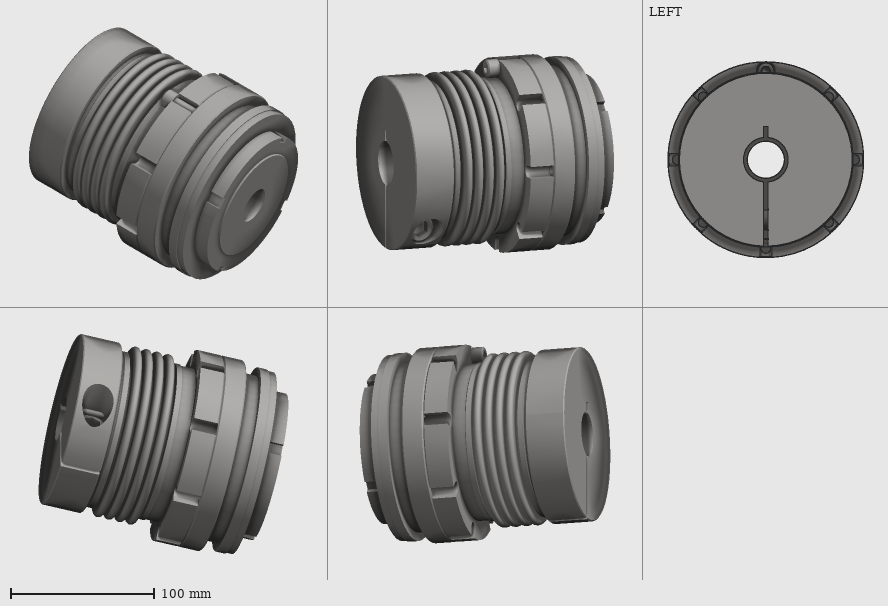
import cadquery as cq
import math


hub_dia = 122.1
hub_end = 28.3
hub_chamfer = 0.8
hub_bore_dia = 31.2
slit_width = 3.0
slit_top = 23.0

collar_dia = 110.0
flange_dia = 111.7
flange_chamfer = 0.8
left_collar_end = 30.6
left_flange_end = 35.0
bellows_end = 69.1
right_flange_end = 73.5
right_collar_end = 82.5
crest_count = 4
crest_radius = 2.5
root_dia = 97.0

ring_dia = 136.8
ring_chamfer = 0.9
slotted_ring_end = 100.1
plain_ring_end = 115.9

groove_dia = 120.0
groove_end = 126.8
large_step_dia = 132.0
large_step_end = 133.3
small_step_dia = 130.3
small_step_end = 138.6
nut_neck_dia = 90.0
nut_start = 139.2
nut_face_dia = 95.5
nut_dia = 105.1
nut_chamfer_length = 0.8
nut_end = 150.3
stub_dia = 80.0
stub_chamfer = 0.6
total_length = 151.5
shaft_bore_dia = 25.8

nut_notch_count = 4
first_notch_angle = 45.0
nut_notch_width = 8.0
nut_notch_floor_radius = 49.0

ring_slot_count = 8
ring_slot_width = 8.5
tapped_hole_dia = 6.8
tapped_hole_depth = 12.1
ring_screw_dia = 8.0
ring_screw_head_dia = 13.0
ring_screw_head_length = 8.5
ring_screw_hex = 6.0
ring_screw_socket_depth = 4.0
slot_circle_radius = (ring_dia - ring_screw_head_dia) / 2

clamp_x = 14.8
clamp_z = -42.0
clamp_screw_dia = 14.0
clamp_clearance_dia = 15.0
clamp_head_dia = 21.0
clamp_head_length = 14.0
clamp_counterbore_dia = 22.0
clamp_head_y = -27.3
clamp_seat_y = clamp_head_y + clamp_head_length
clamp_hex = 12.0
clamp_socket_depth = 7.0
clamp_thread_depth = 22.7
pin_dia = 4.2
pin_length = 24.2
pin_z = -32.7

screw_head_chamfer_ratio = 0.07
socket_cone_to_hex_ratio = 0.88
socket_cone_half_angle = 60.0
hex_sides = 6


def add_bellows(outline):
    """Continue the outline over alternating round roots and round crests."""
    root_count = crest_count + 1
    total_root_width = bellows_end - left_flange_end - 2 * crest_radius * crest_count
    root_radius = total_root_width / (2 * root_count)
    root_centre = root_dia / 2 + root_radius
    crest_centre = hub_dia / 2 - crest_radius
    x = left_flange_end
    for index in range(root_count):
        root_end = x + 2 * root_radius
        outline = outline.lineTo(x, root_centre)
        outline = outline.threePointArc((x + root_radius, root_dia / 2), (root_end, root_centre))
        x = root_end
        if index < crest_count:
            crest_end = x + 2 * crest_radius
            outline = outline.lineTo(x, crest_centre)
            outline = outline.threePointArc((x + crest_radius, hub_dia / 2), (crest_end, crest_centre))
            x = crest_end
    return outline


def step(outline, dia, start, end, start_chamfer=0.0, end_chamfer=0.0):
    """Continue the outline along a cylinder, with a 45 degree chamfer at either end if asked for."""
    radius = dia / 2
    outline = outline.lineTo(start, radius - start_chamfer)
    if start_chamfer:
        outline = outline.lineTo(start + start_chamfer, radius)
    outline = outline.lineTo(end - end_chamfer, radius)
    if end_chamfer:
        outline = outline.lineTo(end, radius - end_chamfer)
    return outline


def make_body():
    outline = cq.Workplane("XY").moveTo(0, 0)
    outline = step(outline, hub_dia, 0, hub_end, hub_chamfer, hub_chamfer)
    outline = step(outline, collar_dia, hub_end, left_collar_end)
    outline = step(outline, flange_dia, left_collar_end, left_flange_end, start_chamfer=flange_chamfer)
    outline = add_bellows(outline)
    outline = step(outline, flange_dia, bellows_end, right_flange_end, end_chamfer=flange_chamfer)
    outline = step(outline, collar_dia, right_flange_end, right_collar_end)
    outline = step(outline, ring_dia, right_collar_end, slotted_ring_end, end_chamfer=ring_chamfer)
    outline = outline.lineTo(slotted_ring_end + ring_chamfer, ring_dia / 2)
    outline = outline.lineTo(plain_ring_end - ring_chamfer, ring_dia / 2)
    outline = outline.lineTo(plain_ring_end, ring_dia / 2 - ring_chamfer)
    outline = step(outline, groove_dia, plain_ring_end, groove_end)
    outline = step(outline, large_step_dia, groove_end, large_step_end)
    outline = step(outline, small_step_dia, large_step_end, small_step_end)
    outline = step(outline, nut_neck_dia, small_step_end, nut_start)
    outline = outline.lineTo(nut_start, nut_face_dia / 2)
    outline = outline.lineTo(nut_start + nut_chamfer_length, nut_dia / 2)
    outline = outline.lineTo(nut_end, nut_dia / 2)
    outline = step(outline, stub_dia, nut_end, total_length, end_chamfer=stub_chamfer)
    outline = outline.lineTo(total_length, 0).close()
    return outline.revolve(360, (0, 0, 0), (1, 0, 0))


def rod_along_x(dia, start, end, z=0.0):
    return cq.Workplane("YZ", origin=(start, 0, z)).circle(dia / 2).extrude(end - start)


def rod_along_y(dia, start, end):
    """Cylinder on the clamping screw axis, from one Y to another."""
    plane = cq.Plane(origin=(clamp_x, start, clamp_z), xDir=(1, 0, 0), normal=(0, 1, 0))
    return cq.Workplane(plane).circle(dia / 2).extrude(end - start)


def around_x(shape, count, index, offset_angle=0.0):
    """Copy of a shape turned to one of several equally spaced places around the X axis."""
    return shape.rotate((0, 0, 0), (1, 0, 0), offset_angle + index * 360 / count)


def hub_slit():
    height = hub_dia / 2 + slit_top
    slit = cq.Workplane("XY").box(hub_end, slit_width, height, centered=(False, True, False))
    return slit.translate((0, 0, -hub_dia / 2))


def ring_slot():
    """Open slot with a round floor, at the top of the slotted ring."""
    length = slotted_ring_end - right_collar_end
    floor = rod_along_x(ring_slot_width, right_collar_end, slotted_ring_end, slot_circle_radius)
    opening = cq.Workplane("XY").box(length, ring_slot_width, ring_slot_width, centered=(False, True, False))
    return floor.union(opening.translate((right_collar_end, 0, slot_circle_radius)))


def tapped_hole():
    hole_end = slotted_ring_end + tapped_hole_depth
    return rod_along_x(tapped_hole_dia, slotted_ring_end, hole_end, slot_circle_radius)


def nut_notch():
    notch = cq.Workplane("XY").box(
        nut_end - nut_start, nut_notch_width, nut_dia / 2, centered=(False, True, False)
    )
    return notch.translate((nut_start, 0, nut_notch_floor_radius))


def cap_screw(head_dia, head_length, shank_dia, shank_length, hex_size, socket_depth):
    """Socket head screw along +Z, with the underside of its head at the origin and its head below."""
    chamfer = screw_head_chamfer_ratio * head_dia
    head = cq.Workplane("XY").circle(head_dia / 2).extrude(-head_length).faces("<Z").chamfer(chamfer)
    shank = cq.Workplane("XY").circle(shank_dia / 2).extrude(shank_length)
    hex_corner_dia = hex_size / math.cos(math.pi / hex_sides)
    head_top = cq.Workplane("XY", origin=(0, 0, -head_length))
    socket = head_top.polygon(hex_sides, hex_corner_dia).extrude(socket_depth)
    cone_radius = socket_cone_to_hex_ratio * hex_size / 2
    cone_height = cone_radius / math.tan(math.radians(socket_cone_half_angle))
    cone_base = cq.Vector(0, 0, socket_depth - head_length)
    cone = cq.Solid.makeCone(cone_radius, 0, cone_height, cone_base, cq.Vector(0, 0, 1))
    return head.union(shank).cut(socket).cut(cq.Workplane(cone))


def ring_screw():
    """Cap screw in the top ring slot, its head resting on the ring face."""
    shank_length = slotted_ring_end + tapped_hole_depth - right_collar_end
    screw = cap_screw(
        ring_screw_head_dia, ring_screw_head_length, ring_screw_dia, shank_length,
        ring_screw_hex, ring_screw_socket_depth,
    )
    screw = screw.rotate((0, 0, 0), (0, 0, 1), 90).rotate((0, 0, 0), (0, 1, 0), 90)
    return screw.translate((right_collar_end, 0, slot_circle_radius))


def clamp_hole():
    counterbore = rod_along_y(clamp_counterbore_dia, -hub_dia / 2, clamp_seat_y)
    clearance = rod_along_y(clamp_clearance_dia, clamp_seat_y, -slit_width / 2)
    return counterbore.union(clearance)


def clamp_screw():
    """Cap screw across the hub slit, entering from -Y."""
    screw = cap_screw(
        clamp_head_dia, clamp_head_length, clamp_screw_dia, clamp_thread_depth - clamp_seat_y,
        clamp_hex, clamp_socket_depth,
    )
    screw = screw.rotate((0, 0, 0), (0, 0, 1), 90).rotate((0, 0, 0), (1, 0, 0), -90)
    return screw.translate((clamp_x, clamp_seat_y, clamp_z))


def jacking_pin():
    """Pin along X that lies against the head of the clamping screw."""
    pin = rod_along_x(pin_dia, clamp_x - pin_length / 2, clamp_x + pin_length / 2, pin_z)
    return pin.translate((0, clamp_head_y - pin_dia / 2, 0))


result = make_body()
result = result.cut(rod_along_x(shaft_bore_dia, 0, total_length))
result = result.cut(rod_along_x(hub_bore_dia, 0, hub_end))
result = result.cut(hub_slit())
result = result.cut(clamp_hole())

for slot_index in range(ring_slot_count):
    result = result.cut(around_x(ring_slot(), ring_slot_count, slot_index))
    result = result.cut(around_x(tapped_hole(), ring_slot_count, slot_index))

for notch_index in range(nut_notch_count):
    result = result.cut(around_x(nut_notch(), nut_notch_count, notch_index, first_notch_angle))

result = result.union(ring_screw()).union(clamp_screw()).union(jacking_pin())